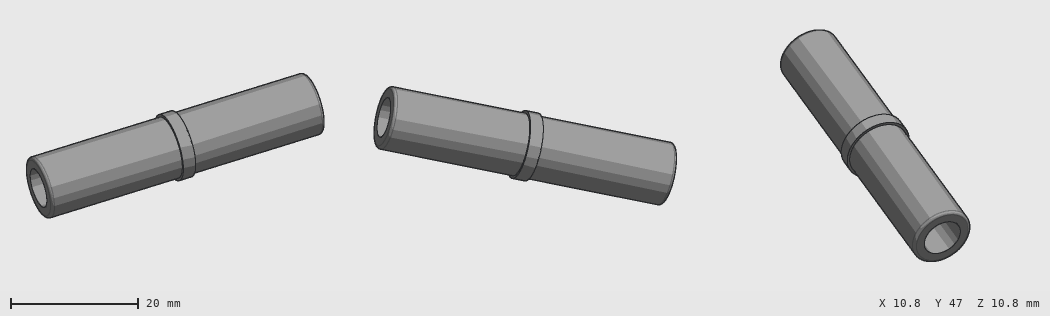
import cadquery as cq

length = 47.0
tube_diameter = 10.0
bore_diameter = 6.3
collar_diameter = 10.85
collar_width = 2.1
end_rounding = 0.45


def cylinder_along_y(diameter, width):
    """Cylinder on the Y axis, centred on the origin."""
    start_plane = cq.Workplane("XZ", origin=(0, width / 2, 0))
    return start_plane.circle(diameter / 2).extrude(width)


tube = cylinder_along_y(tube_diameter, length).edges("%CIRCLE").fillet(end_rounding)

collar = cylinder_along_y(collar_diameter, collar_width)

bore = cylinder_along_y(bore_diameter, length)

result = tube.union(collar).cut(bore)